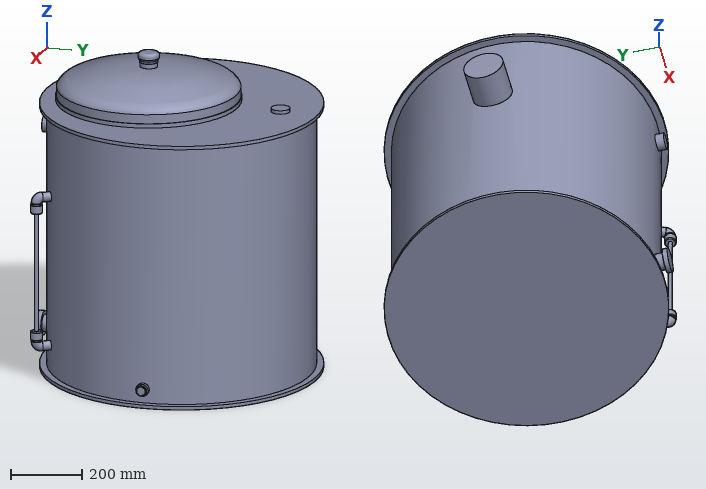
import cadquery as cq
import math

tank_diameter = 760.0
plate_diameter = 800.0
plate_thickness = 10.0
tank_height = 780.0

opening_y = -97.0
collar_diameter = 524.0
collar_height = 12.0
collar_top = tank_height + collar_height

inlet_diameter = 114.0
inlet_end = 480.0
inlet_z = 530.0
vent_diameter = 53.0
vent_height = 10.0
vent_y = 290.0
upper_spigot_diameter = 48.0
upper_spigot_end = 404.0
upper_spigot_z = 680.0
outlet_diameter = 50.0
outlet_flange_diameter = 70.0
outlet_flange_thickness = 15.0
outlet_end = 418.0
outlet_z = 90.0

lid_diameter = 520.0
lid_radius = lid_diameter / 2
skirt_top = 819.0
shoulder_radius = 257.0
shoulder_z = 825.0
shoulder_bulge = 2.0
dome_radius = 234.0
dome_z = 842.0
crown_radius = 40.0
crown_z = 878.0
dome_bulge = 9.0

knob_neck_radius = 25.0
knob_throat_z = 891.5
knob_throat_radius = 27.0
knob_throat_top = 898.0
knob_diameter = 61.0
knob_radius = knob_diameter / 2
knob_band_bottom = 904.0
knob_top = 920.0
knob_rounding = 9.0

gauge_distance = 419.5
gauge_angle = -60.0
gauge_bottom_z = outlet_z
gauge_top_z = inlet_z
branch_diameter = 28.0
elbow_diameter = 30.0
bend_radius = 16.0
gauge_neck_diameter = 25.0
gauge_neck_length = 5.5
nut_diameter = 34.0
nut_length = 25.0
nut_chamfer = 3.0
sight_tube_diameter = 12.0
nut_end = bend_radius + gauge_neck_length + nut_length

plug_z = 51.0
plug_diameter = 36.0
plug_body_end = 393.0
plug_cone_diameter = 30.0
plug_cone_end = 396.5
plug_end = 403.0
plug_hex_across_flats = 25.0


def cylinder(diameter, start, end, direction):
    """Cylinder of a given diameter from start to end point along a direction."""
    start = cq.Vector(*start)
    length = (cq.Vector(*end) - start).Length
    return cq.Workplane(obj=cq.Solid.makeCylinder(diameter / 2, length, start, cq.Vector(*direction)))


def upright(diameter, y, bottom, top):
    """Vertical cylinder on the plane x = 0."""
    return cylinder(diameter, (0, y, bottom), (0, y, top), (0, 0, 1))


def front_stub(diameter, z, start, end):
    """Cylinder that points to -Y, given by its distances from the tank axis."""
    return cylinder(diameter, (0, -start, z), (0, -end, z), (0, -1, 0))


def make_tank():
    tank = upright(tank_diameter, 0, 0, tank_height)
    for plate_bottom in (0, tank_height - plate_thickness):
        tank = tank.union(upright(plate_diameter, 0, plate_bottom, plate_bottom + plate_thickness))
    tank = tank.union(upright(collar_diameter, opening_y, tank_height, collar_top))
    tank = tank.union(upright(vent_diameter, vent_y, tank_height, tank_height + vent_height))
    inlet = cylinder(inlet_diameter, (0, 0, inlet_z), (-inlet_end, 0, inlet_z), (-1, 0, 0))
    tank = tank.union(inlet)
    tank = tank.union(front_stub(upper_spigot_diameter, upper_spigot_z, 0, upper_spigot_end))
    tank = tank.union(front_stub(outlet_diameter, outlet_z, 0, outlet_end))
    flange_start = outlet_end - outlet_flange_thickness
    return tank.union(front_stub(outlet_flange_diameter, outlet_z, flange_start, outlet_end))


def make_lid():
    profile = (
        cq.Workplane("XZ")
        .moveTo(0, collar_top)
        .lineTo(lid_radius, collar_top)
        .lineTo(lid_radius, skirt_top)
        .lineTo(shoulder_radius, shoulder_z)
        .sagittaArc((dome_radius, dome_z), -shoulder_bulge)
        .sagittaArc((crown_radius, crown_z), -dome_bulge)
        .lineTo(0, crown_z)
        .close()
    )
    return profile.revolve(360, (0, 0, 0), (0, 1, 0)).translate((0, opening_y, 0))


def make_knob():
    profile = (
        cq.Workplane("XZ")
        .moveTo(0, crown_z)
        .lineTo(knob_neck_radius, crown_z)
        .lineTo(knob_neck_radius, knob_throat_z)
        .lineTo(knob_throat_radius, knob_throat_z)
        .lineTo(knob_throat_radius, knob_throat_top)
        .lineTo(knob_radius, knob_band_bottom)
        .lineTo(knob_radius, knob_top - knob_rounding)
        .radiusArc((knob_radius - knob_rounding, knob_top), -knob_rounding)
        .lineTo(0, knob_top)
        .close()
    )
    return profile.revolve(360, (0, 0, 0), (0, 1, 0)).translate((0, opening_y, 0))


def make_elbow(z, vertical):
    """Elbow from the tank wall to its nut; vertical is +1 for a nut above the branch, -1 below."""
    bend_start = gauge_distance - bend_radius
    branch = cylinder(branch_diameter, (0, 0, 0), (bend_start, 0, 0), (1, 0, 0))
    branch = branch.cut(upright(tank_diameter, 0, -branch_diameter, branch_diameter))
    bend = (
        cq.Workplane("YZ", origin=(bend_start, 0, 0))
        .circle(elbow_diameter / 2)
        .revolve(90, (9, bend_radius, 0), (-9, bend_radius, 0))
    )
    neck = (
        cq.Workplane("XY", origin=(gauge_distance, 0, bend_radius))
        .circle(gauge_neck_diameter / 2)
        .extrude(gauge_neck_length)
    )
    nut = (
        cq.Workplane("XY", origin=(gauge_distance, 0, bend_radius + gauge_neck_length))
        .circle(nut_diameter / 2)
        .extrude(nut_length)
        .faces(">Z")
        .chamfer(nut_chamfer)
    )
    elbow = branch.union(bend).union(neck).union(nut)
    if vertical < 0:
        elbow = elbow.mirror("XY")
    return elbow.rotate((0, 0, 0), (0, 0, 1), gauge_angle).translate((0, 0, z))


def make_sight_tube():
    angle = math.radians(gauge_angle)
    x = gauge_distance * math.cos(angle)
    y = gauge_distance * math.sin(angle)
    bottom = gauge_bottom_z + nut_end
    top = gauge_top_z - nut_end
    return cylinder(sight_tube_diameter, (x, y, bottom), (x, y, top), (0, 0, 1))


def make_drain_plug():
    body = cylinder(plug_diameter, (0, 0, plug_z), (plug_body_end, 0, plug_z), (1, 0, 0))
    body = body.cut(upright(tank_diameter, 0, 0, tank_height))
    cone = (
        cq.Workplane("YZ", origin=(plug_body_end, 0, plug_z))
        .circle(plug_diameter / 2)
        .workplane(offset=plug_cone_end - plug_body_end)
        .circle(plug_cone_diameter / 2)
        .loft()
    )
    hexagon = (
        cq.Workplane("YZ", origin=(plug_cone_end, 0, plug_z))
        .polygon(6, plug_hex_across_flats, circumscribed=True)
        .extrude(plug_end - plug_cone_end)
    )
    return body.union(cone).union(hexagon)


tank = make_tank()
lid = make_lid()
knob = make_knob()
elbows = [make_elbow(z, vertical) for z, vertical in ((gauge_bottom_z, 1), (gauge_top_z, -1))]
sight_tube = make_sight_tube()
drain_plug = make_drain_plug()

bodies = [tank, lid, knob, *elbows, sight_tube, drain_plug]

result = cq.Compound.makeCompound([body.solids().val() for body in bodies])